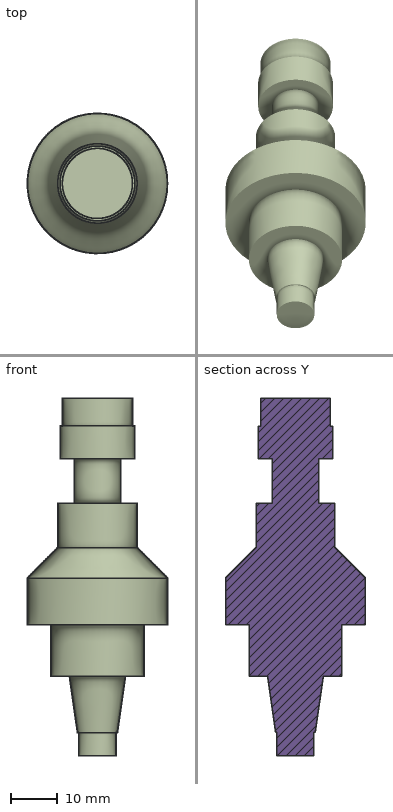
import cadquery as cq

tip = (5.0, 8.0, 8.0)
taper = (12.0, 8.6, 12.0)
lower_body = (11.0, 20.0, 20.0)
flange = (10.0, 30.0, 30.0)
shoulder = (6.5, 30.0, 17.0)
upper_body = (9.5, 17.0, 17.0)
neck = (9.5, 10.0, 10.0)
collar = (7.0, 16.0, 16.0)
cap = (6.0, 15.0, 15.0)

sections = [tip, taper, lower_body, flange, shoulder, upper_body, neck, collar, cap]


def half_profile(stack):
    """Return the (radius, height) outline of the stack, starting and ending on the Z axis."""
    points = [(0, 0)]
    base = 0
    for height, bottom_diameter, top_diameter in stack:
        bottom = (bottom_diameter / 2, base)
        base += height
        top = (top_diameter / 2, base)
        if bottom != points[-1]:
            points.append(bottom)
        points.append(top)
    points.append((0, base))
    return points


result = (
    cq.Workplane("XZ")
    .polyline(half_profile(sections))
    .close()
    .revolve(360, (0, 0, 0), (0, 1, 0))
)